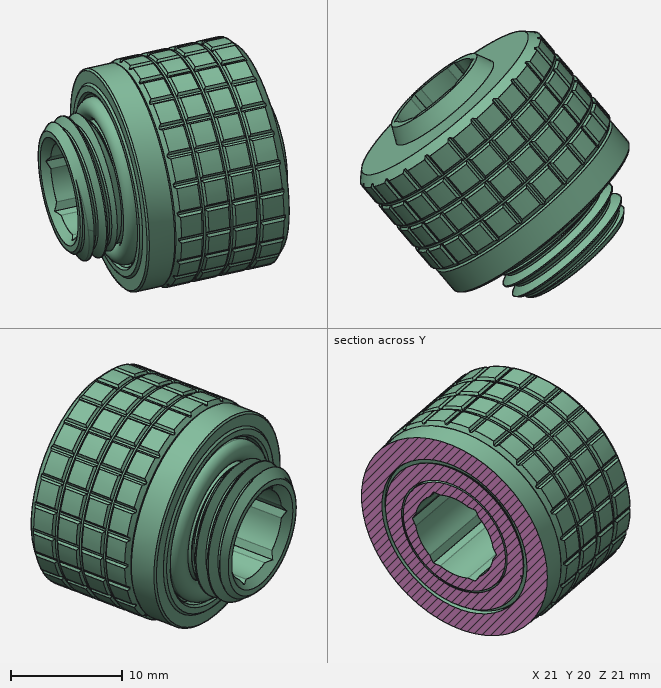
import cadquery as cq
import math


knurl_radius = 10.5
knurl_start = 7.9
block_length = 1.97
block_rows = 4
axial_grooves = 24
groove_depth = 0.2
groove_floor = 0.2
groove_mouth = groove_floor + 2 * groove_depth
row_pitch = block_length + groove_mouth
knurl_end = knurl_start + block_rows * row_pitch - groove_mouth
nut_chamfer = 0.8
nut_end = knurl_end + nut_chamfer

collar_radius = 10.29
collar_front = 4.72
collar_chamfer = 0.17
neck_groove_radius = 10.1
neck_groove_y = knurl_start - (knurl_radius - neck_groove_radius)
collar_end = neck_groove_y - (collar_radius - neck_groove_radius)

lip_radius = 8.98
lip_height = 0.2
lip_front = collar_front - lip_height
recess_radius = 7.98
recess_chamfer = 0.2
recess_floor = 5.67

seal_tube_radius = 1.0
seal_outer_radius = 7.72
seal_front = 3.78
seal_centre_radius = seal_outer_radius - seal_tube_radius
seal_centre_y = seal_front + seal_tube_radius

thread_radius = 6.6
thread_root_radius = 5.73
thread_pitch = 1.3
thread_root_flat = 0.2
thread_crest_flat = 0.13
thread_first_turn = -1.07
thread_turns = 4.3
thread_cut_margin = 0.08
plug_tip_radius = 5.56
plug_neck_radius = 5.67
plug_full_end = 2.98

nozzle_base_radius = 5.69
nozzle_tip_radius = 4.97
fitting_length = 20.0

bore_radius = 4.28
hex_across_flats = 8.0
countersink_radius = 5.0
countersink_depth = 0.73


def turned(points):
    """Solid of revolution about Y from (radius, y) points."""
    return cq.Workplane("XY").polyline(points).close().revolve(360, (0, 0, 0), (0, 1, 0))


def along_y(outline, start, length):
    """Extrude an outline from Y = start towards +Y; its outline plane is XZ."""
    return outline.extrude(-length).translate((0, start, 0))


def nut_body():
    return turned([
        (0, recess_floor),
        (recess_radius, recess_floor),
        (recess_radius, lip_front + recess_chamfer),
        (recess_radius + recess_chamfer, lip_front),
        (lip_radius - lip_height, lip_front),
        (lip_radius, collar_front),
        (collar_radius - collar_chamfer, collar_front),
        (collar_radius, collar_front + collar_chamfer),
        (collar_radius, collar_end),
        (neck_groove_radius, neck_groove_y),
        (knurl_radius, knurl_start),
        (knurl_radius, knurl_end),
        (knurl_radius - nut_chamfer, nut_end),
        (nozzle_base_radius, nut_end),
        (nozzle_tip_radius, fitting_length),
        (0, fitting_length),
    ])


def groove_profile():
    """Trapezoid groove section as (offset across the groove, radius), open past the surface."""
    over = groove_depth
    half_floor = groove_floor / 2
    half_outer = half_floor + groove_depth + over
    floor_radius = knurl_radius - groove_depth
    outer_radius = knurl_radius + over
    return [
        (-half_floor, floor_radius),
        (half_floor, floor_radius),
        (half_outer, outer_radius),
        (-half_outer, outer_radius),
    ]


def cut_knurl(body):
    for row in range(1, block_rows):
        ring_y = knurl_start + row * row_pitch - groove_mouth / 2
        body = body.cut(turned([(radius, ring_y + offset) for offset, radius in groove_profile()]))

    axial_outline = cq.Workplane("XZ").polyline(groove_profile()).close()
    axial_groove = along_y(axial_outline, neck_groove_y, nut_end - neck_groove_y)
    for index in range(axial_grooves):
        angle = index * 360 / axial_grooves
        body = body.cut(axial_groove.rotate((0, 0, 0), (0, 1, 0), angle))
    return body


def seal_ring():
    return (
        cq.Workplane("XY")
        .center(seal_centre_radius, seal_centre_y)
        .circle(seal_tube_radius)
        .revolve(360, (-seal_centre_radius, 0, 0), (-seal_centre_radius, 1, 0))
    )


def thread_groove():
    """Right-handed helical groove, swept along Z and then laid along Y."""
    half_root = thread_root_flat / 2
    half_mouth = (thread_pitch - thread_crest_flat) / 2
    flank_slope = (half_mouth - half_root) / (thread_radius - thread_root_radius)
    outer_radius = thread_radius + thread_cut_margin
    half_outer = half_mouth + thread_cut_margin * flank_slope
    path = cq.Wire.makeHelix(thread_pitch, thread_turns * thread_pitch, thread_root_radius)
    groove = (
        cq.Workplane("XZ")
        .polyline([
            (thread_root_radius, -half_root),
            (outer_radius, -half_outer),
            (outer_radius, half_outer),
            (thread_root_radius, half_root),
        ])
        .close()
        .sweep(cq.Workplane(path), isFrenet=True)
    )
    return groove.rotate((0, 0, 0), (1, 0, 0), -90).translate((0, thread_first_turn, 0))


def threaded_plug():
    """Plug with a 45 degree lead-in at the tip and a 45 degree run-out to the neck."""
    blank = turned([
        (0, 0),
        (plug_tip_radius, 0),
        (thread_radius, thread_radius - plug_tip_radius),
        (thread_radius, plug_full_end),
        (plug_neck_radius, plug_full_end + thread_radius - plug_neck_radius),
        (plug_neck_radius, recess_floor),
        (0, recess_floor),
    ])
    return blank.cut(thread_groove())


def bore():
    hex_corner_diameter = hex_across_flats / math.cos(math.pi / 6)
    round_hole = along_y(cq.Workplane("XZ").circle(bore_radius), 0, fitting_length)
    hexagon = along_y(cq.Workplane("XZ").polygon(6, hex_corner_diameter), 0, fitting_length)
    countersink = turned([
        (0, 0),
        (countersink_radius, 0),
        (bore_radius, countersink_depth),
        (0, countersink_depth),
    ])
    return round_hole.union(hexagon).union(countersink)


result = cut_knurl(nut_body()).union(threaded_plug()).union(seal_ring()).cut(bore())